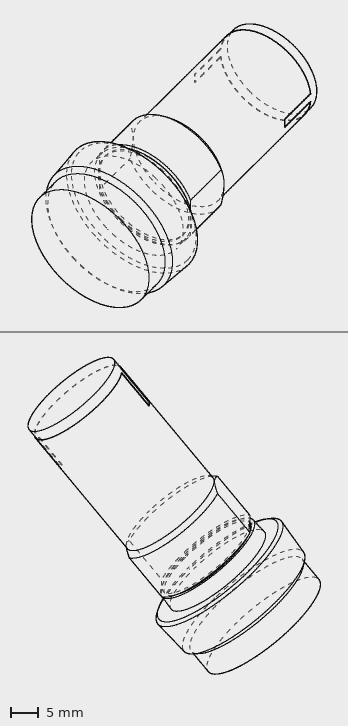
import cadquery as cq

length = 57.0
front_bevel_end = 0.5
collar_front = 5.55
collar_shoulder = 6.4
collar_rim = 13.5
collar_back = 14.0
neck_back = 17.0
body_front = 17.5
body_chamfer_start = 27.0
body_back = 28.0
tail_start = 55.0
slot_end = 46.95

collar_diameter = 29.0
face_radius = 10.0
cap_radius = 13.0
collar_shoulder_radius = 14.0
collar_rim_radius = collar_diameter / 2
collar_back_radius = 13.8
neck_front_radius = 10.95
neck_back_radius = 10.8
groove_radius = 10.0
body_radius = 11.0
tube_radius = 10.05
tail_radius = 9.9

slot_width = 2.0
flat_distance = 10.1


def turned_body():
    """Revolve the stepped half-profile about the Y axis."""
    profile = [
        (0, 0),
        (0, face_radius),
        (front_bevel_end, cap_radius),
        (collar_front, cap_radius),
        (collar_shoulder, collar_shoulder_radius),
        (collar_rim, collar_rim_radius),
        (collar_back, collar_back_radius),
        (collar_back, neck_front_radius),
        (neck_back, neck_back_radius),
        (neck_back, groove_radius),
        (body_front, groove_radius),
        (body_front, body_radius),
        (body_chamfer_start, body_radius),
        (body_back, tube_radius),
        (tail_start, tube_radius),
        (tail_start, tail_radius),
        (length, tail_radius),
        (length, 0),
    ]
    return cq.Workplane("YZ").polyline(profile).close().revolve(360, (0, 0, 0), (1, 0, 0))


def wrench_flat(side):
    """Material beyond the wrench flat on one X side of the body (side is -1 or 1)."""
    depth = body_radius - flat_distance
    center = (side * (flat_distance + depth / 2), (body_front + body_back) / 2, 0)
    return cq.Workplane("XY").box(depth, body_back - body_front, 2 * body_radius).translate(center)


def key_slots():
    """Opposite shallow slots through the tube wall, with round floors flush with the tail."""
    slot_length = tail_start - slot_end
    slot_middle = (0, (slot_end + tail_start) / 2, 0)
    bar = cq.Workplane("XY").box(2 * body_radius, slot_length, slot_width).translate(slot_middle)
    core = cq.Workplane("XZ", origin=(0, length, 0)).circle(tail_radius).extrude(length)
    return bar.cut(core)


result = turned_body().cut(key_slots())
for side in (-1, 1):
    result = result.cut(wrench_flat(side))